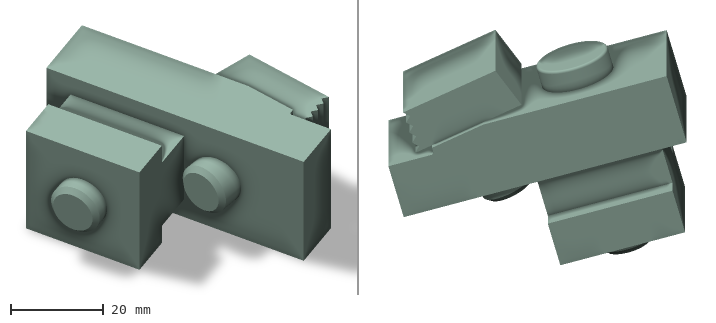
import cadquery as cq
import math

PLATE_LENGTH = 63.5
PLATE_THICKNESS = 15.9
PLATE_HEIGHT = 28.5
STEP_X = 53.3
STEP_Y = 12.2
STEP_FILLET = 0.6

BLOCK_LEFT = 6.0
BLOCK_WIDTH = 28.0
BLOCK_HEIGHT = 28.05
NECK_HEIGHT = 18.2
NECK_DEPTH = 10.0
FLANGE_DEPTH = 10.0
BLOCK_CENTER_X = BLOCK_LEFT + BLOCK_WIDTH / 2
BLOCK_DEPTH = NECK_DEPTH + FLANGE_DEPTH

SCREW_DIAMETER = 12.0
SCREW_CHAMFER = 1.15
SCREW_PROTRUSION = 4.45
HEAD_DIAMETER = 16.0
HEAD_HEIGHT = 4.95
HEAD_FILLET = 0.6
TILTED_END_X = 41.0
TILTED_END_Y = -5.2
TILTED_LENGTH = 25.4

TILT = 10.0
JAW_HEIGHT = 25.4
JAW_THICKNESS = 9.5
JAW_LEFT = 32.1
JAW_LEFT_Y = 17.45
JAW_END_LEAN = 20.0
TOOTH_TIP_X = 57.2
TOOTH_PITCH = 2.4
TOOTH_DEPTH = TOOTH_PITCH / 2
TOOTH_COUNT = 4
SLOPE = math.tan(math.radians(TILT))


def jaw_seat_y(x):
    """Y of the sloped seat line at a given X."""
    return JAW_LEFT_Y - (x - JAW_LEFT) * SLOPE


def extrude_outline(points, height):
    """Extrude an XY outline symmetrically about Z = 0."""
    return cq.Workplane("XY").polyline(points).close().extrude(height / 2, both=True)


def box_in_front(depth, height, back_y):
    """Box as wide as the T-shaped block, reaching forward from back_y."""
    center = (BLOCK_CENTER_X, back_y - depth / 2, 0)
    return cq.Workplane("XY").box(BLOCK_WIDTH, depth, height).translate(center)


def make_plate():
    slope_start_x = JAW_LEFT + (JAW_LEFT_Y - PLATE_THICKNESS) / SLOPE
    plate = extrude_outline(
        [
            (0, 0),
            (PLATE_LENGTH, 0),
            (PLATE_LENGTH, STEP_Y),
            (STEP_X, STEP_Y),
            (STEP_X, jaw_seat_y(STEP_X)),
            (slope_start_x, PLATE_THICKNESS),
            (0, PLATE_THICKNESS),
        ],
        PLATE_HEIGHT,
    )
    step_corner = cq.selectors.NearestToPointSelector((STEP_X, STEP_Y, 0))
    return plate.edges("|Z").edges(step_corner).fillet(STEP_FILLET)


def make_block():
    neck = box_in_front(NECK_DEPTH, NECK_HEIGHT, 0)
    flange = box_in_front(FLANGE_DEPTH, BLOCK_HEIGHT, -NECK_DEPTH)
    return neck.union(flange)


def make_jaw():
    tip_y = jaw_seat_y(TOOTH_TIP_X)
    root_x = TOOTH_TIP_X - TOOTH_DEPTH
    top_rise = JAW_THICKNESS / math.cos(math.radians(TILT))

    lean = math.tan(math.radians(JAW_END_LEAN))
    end_rise = top_rise / (1 + SLOPE * lean)
    top_left = (JAW_LEFT + end_rise * lean, JAW_LEFT_Y + end_rise)

    points = [(JAW_LEFT, JAW_LEFT_Y)]
    for tooth in range(TOOTH_COUNT):
        y = tip_y + tooth * TOOTH_PITCH
        points.append((TOOTH_TIP_X, y))
        points.append((root_x, y + TOOTH_DEPTH))

    last_root_y = points[-1][1]
    flank_run = (jaw_seat_y(root_x) + top_rise - last_root_y) / (1 + SLOPE)
    points.append((root_x + flank_run, last_root_y + flank_run))
    points.append(top_left)
    return extrude_outline(points, JAW_HEIGHT)


def make_screw(length):
    """Screw along +Y from a chamfered end at the origin."""
    shank = cq.Workplane("XZ").circle(SCREW_DIAMETER / 2).extrude(-length)
    return shank.faces("<Y").chamfer(SCREW_CHAMFER)


def make_clamp_screw():
    end_y = -BLOCK_DEPTH - SCREW_PROTRUSION
    shank = make_screw(PLATE_THICKNESS - end_y).translate((0, end_y, 0))
    head = cq.Workplane("XZ").circle(HEAD_DIAMETER / 2).extrude(-HEAD_HEIGHT)
    head = head.faces(">Y").edges().fillet(HEAD_FILLET)
    screw = shank.union(head.translate((0, PLATE_THICKNESS, 0)))
    return screw.translate((BLOCK_CENTER_X, 0, 0))


def make_tilted_screw():
    screw = make_screw(TILTED_LENGTH).rotate((0, 0, 0), (0, 0, 1), -TILT)
    return screw.translate((TILTED_END_X, TILTED_END_Y, 0))


result = (
    make_plate()
    .union(make_block())
    .union(make_jaw())
    .union(make_clamp_screw())
    .union(make_tilted_screw())
)